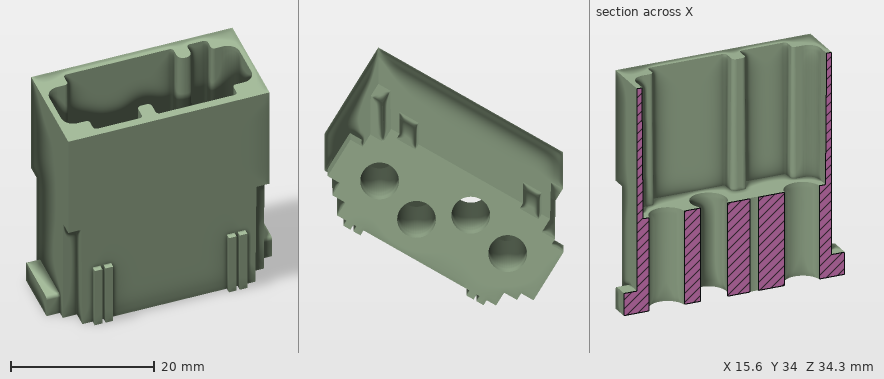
import cadquery as cq

body_x = 14.75
body_y = 30.0
body_z = 34.3

draft = 0.5

notch_x = 2.05
notch_y = 1.95
notch_height = 17.45

tab_length = 2.0
tab_height = 3.45
tab_fillet = 0.5
front_tab_width = 8.25
front_tab_offset = -0.08
rear_tab_width = 6.2

joint_y = 10.0
joint_height = 10.0
rib_pair_width = 2.75
rib_width = 1.13
rib_length = 0.85
groove_width = 3.05
groove_depth = 0.85

cavity_depth = 20.0
cavity_x = 12.32
cavity_y = 21.4
lobe_x = 8.2
lobe_y = 28.36
lobe_radius = 1.8
corner_radius = 0.5

profile_thickness = 1.0

key_tip_x = 3.7
key_width = 2.05
left_key_y = 6.65
left_key_radius = 0.9
right_key_y = -2.38
right_key_radius = 0.6

bore_diameter = 5.4
bore_outer_y = 10.4
bore_inner_x = 2.2
bore_inner_y = 3.1
bore_centres = [
    (0, bore_outer_y),
    (bore_inner_x, bore_inner_y),
    (-bore_inner_x, -bore_inner_y),
    (0, -bore_outer_y),
]


def box_between(x_range, y_range, z_range):
    """Block spanning the given (low, high) range on each axis."""
    size = [high - low for low, high in (x_range, y_range, z_range)]
    corner = (x_range[0], y_range[0], z_range[0])
    return cq.Workplane("XY").box(*size, centered=False).translate(corner)


def corner_notch(side_x, side_y):
    """Block removed at one body corner; its walls draft wider toward the base."""
    return (
        cq.Workplane("XY", origin=(side_x * body_x / 2, side_y * body_y / 2, notch_height))
        .rect(2 * notch_x, 2 * notch_y)
        .extrude(-notch_height, taper=-draft)
    )


def end_tab(side_y, width, offset):
    """Tab on an end face with its two upper side edges rounded."""
    inner = body_y / 2
    outer = inner + tab_length
    y_range = (inner, outer) if side_y > 0 else (-outer, -inner)
    tab = box_between((offset - width / 2, offset + width / 2), y_range, (0, tab_height))
    return tab.edges("|Y and >Z").fillet(tab_fillet)


def rib(centre_y):
    """One straight rib on the +X face."""
    y_range = (centre_y - rib_width / 2, centre_y + rib_width / 2)
    return box_between((body_x / 2, body_x / 2 + rib_length), y_range, (0, joint_height))


def groove(centre_y):
    """One straight groove in the -X face, open at the base."""
    y_range = (centre_y - groove_width / 2, centre_y + groove_width / 2)
    return box_between((-body_x / 2, -body_x / 2 + groove_depth), y_range, (0, joint_height))


def key(side_x, centre_y, width, tip_radius):
    """Coding key cutter with a rounded tip, reaching from outside the cavity wall."""
    root_x = body_x / 2
    x_range = (key_tip_x, root_x) if side_x > 0 else (-root_x, -key_tip_x)
    y_range = (centre_y - width / 2, centre_y + width / 2)
    block = box_between(x_range, y_range, (body_z - profile_thickness, body_z))
    tip_edges = "|Z and <X" if side_x > 0 else "|Z and >X"
    return block.edges(tip_edges).fillet(tip_radius)


def upright_edges(body, half_x, half_y):
    """The vertical edges of body on the planes x = +-half_x that lie within |y| <= half_y."""
    margin = 0.05
    edges = []
    for x in (-half_x, half_x):
        strip = cq.selectors.BoxSelector(
            (x - margin, -half_y - margin, 0),
            (x + margin, half_y + margin, body_z),
        )
        edges += body.edges("|Z").edges(strip).vals()
    return body.newObject(edges)


def cavity():
    """Open-top cavity, narrowing toward its floor."""
    rim = cq.Workplane("XY", origin=(0, 0, body_z))
    lobes = rim.rect(lobe_x, lobe_y).extrude(-profile_thickness).edges("|Z").fillet(lobe_radius)
    middle = rim.rect(cavity_x, cavity_y).extrude(-profile_thickness)
    profile = lobes.union(middle)
    profile = profile.cut(key(-1, left_key_y, key_width, left_key_radius))
    profile = profile.cut(key(1, right_key_y, key_width, right_key_radius))

    for half_x in (cavity_x / 2, lobe_x / 2):
        profile = upright_edges(profile, half_x, cavity_y / 2).fillet(corner_radius)

    return profile.faces(">Z").wires().toPending().extrude(-cavity_depth, taper=draft, combine=False)


result = box_between((-body_x / 2, body_x / 2), (-body_y / 2, body_y / 2), (0, body_z))

for side_x in (-1, 1):
    for side_y in (-1, 1):
        result = result.cut(corner_notch(side_x, side_y))

result = result.union(end_tab(-1, front_tab_width, front_tab_offset))
result = result.union(end_tab(1, rear_tab_width, 0))

rib_offset = (rib_pair_width - rib_width) / 2
for joint_centre in (-joint_y, joint_y):
    result = result.cut(groove(joint_centre))
    for rib_centre in (joint_centre - rib_offset, joint_centre + rib_offset):
        result = result.union(rib(rib_centre))

result = result.cut(cavity())

bores = cq.Workplane("XY").pushPoints(bore_centres).circle(bore_diameter / 2).extrude(body_z)
result = result.cut(bores)